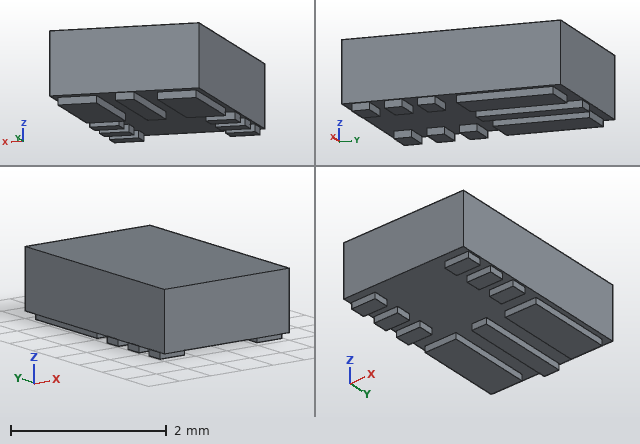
import cadquery as cq

BODY_LENGTH = 3.0
BODY_WIDTH = 2.0
TOTAL_HEIGHT = 0.95
PAD_THICKNESS = 0.1

SIGNAL_OUTER_X = 0.975
SIGNAL_PAD_LENGTH = 0.393
SIGNAL_PAD_WIDTH = 0.24
SIGNAL_PITCH = 0.45
SIGNAL_ROWS = 3
FIRST_SIGNAL_Y = -1.25

POWER_OUTER_X = 0.927
POWER_INNER_X = 0.41
POWER_PAD_WIDTH = POWER_OUTER_X - POWER_INNER_X
POWER_PAD_FRONT_Y = 0.048
POWER_PAD_BACK_Y = 1.37

CENTRE_PAD_WIDTH = 0.245
CENTRE_PAD_FRONT_Y = 0.018
CENTRE_PAD_BACK_Y = 1.475

SIDES = (-1, 1)


def make_body():
    """Plain rectangular package standing on the pads."""
    height = TOTAL_HEIGHT - PAD_THICKNESS
    return (
        cq.Workplane("XY")
        .workplane(offset=PAD_THICKNESS)
        .rect(BODY_WIDTH, BODY_LENGTH)
        .extrude(height)
    )


def make_pad(center_x, center_y, size_x, size_y):
    """Flat rectangular pad below the package."""
    return (
        cq.Workplane("XY")
        .center(center_x, center_y)
        .rect(size_x, size_y)
        .extrude(PAD_THICKNESS)
    )


def make_signal_pad(side, row):
    """Signal pad in a given row, on the -X or +X side."""
    center_x = side * (SIGNAL_OUTER_X - SIGNAL_PAD_LENGTH / 2)
    center_y = FIRST_SIGNAL_Y + row * SIGNAL_PITCH
    return make_pad(center_x, center_y, SIGNAL_PAD_LENGTH, SIGNAL_PAD_WIDTH)


def make_power_pad(side):
    """Long pad on the -X or +X side."""
    center_x = side * (POWER_OUTER_X + POWER_INNER_X) / 2
    center_y = (POWER_PAD_FRONT_Y + POWER_PAD_BACK_Y) / 2
    return make_pad(center_x, center_y, POWER_PAD_WIDTH, POWER_PAD_BACK_Y - POWER_PAD_FRONT_Y)


def make_centre_pad():
    """Strip on the X = 0 plane, longer than the power pads at both ends."""
    center_y = (CENTRE_PAD_FRONT_Y + CENTRE_PAD_BACK_Y) / 2
    return make_pad(0, center_y, CENTRE_PAD_WIDTH, CENTRE_PAD_BACK_Y - CENTRE_PAD_FRONT_Y)


body = make_body()
signal_pads = [make_signal_pad(side, row) for side in SIDES for row in range(SIGNAL_ROWS)]
power_pads = [make_power_pad(side) for side in SIDES]
centre_pad = make_centre_pad()

result = cq.Compound.makeCompound(
    [
        body.val(),
        *[pad.val() for pad in signal_pads],
        *[pad.val() for pad in power_pads],
        centre_pad.val(),
    ]
)